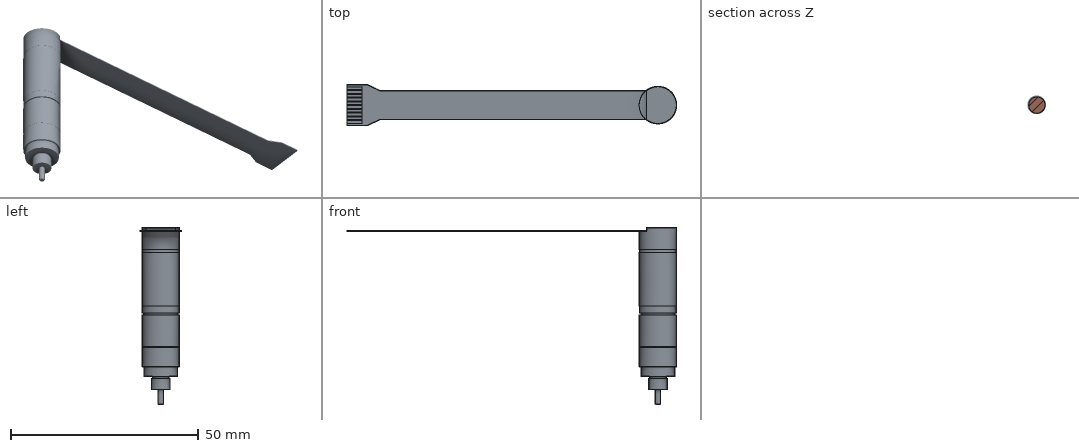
import cadquery as cq

body_diameter = 10.0
sleeve_diameter = 9.9
groove_diameter = 9.1
flange_diameter = 9.0
neck_diameter = 4.5
collar_diameter = 5.0
shaft_diameter = 1.5

cap_end = 5.8
cap_joint_end = 6.6
motor_end = 20.9
adapter_end = 22.8
groove_end = 23.3
gear_end = 31.7
gear_joint_end = 32.0
housing_end = 37.2
flange_end = 39.7
neck_end = 40.2
collar_end = 43.2
shaft_end = 47.2

housing_chamfer = 0.1
shaft_chamfer = 0.2

flat_offset = 3.0
cable_end = 83.0
cable_width = 7.7
cable_thickness = 0.25
cable_depth = 0.8

tab_width = 11.0
tab_length = 5.4
taper_length = 3.5

pad_count = 10
pad_pitch = 1.0
pad_width = 0.72
pad_length = 4.0
pad_height = 0.05


def cylinder(diameter, start_depth, end_depth):
    """Round section of the stack between two depths below the top face."""
    return (
        cq.Workplane("XY")
        .workplane(offset=-end_depth)
        .circle(diameter / 2)
        .extrude(end_depth - start_depth)
    )


def make_stack():
    housing = cylinder(body_diameter, gear_joint_end, housing_end)
    shaft = cylinder(shaft_diameter, collar_end, shaft_end)
    sections = [
        cylinder(sleeve_diameter, cap_end, cap_joint_end),
        cylinder(body_diameter, cap_joint_end, motor_end),
        cylinder(sleeve_diameter, motor_end, adapter_end),
        cylinder(groove_diameter, adapter_end, groove_end),
        cylinder(body_diameter, groove_end, gear_end),
        cylinder(sleeve_diameter, gear_end, gear_joint_end),
        housing.faces("<Z").chamfer(housing_chamfer),
        cylinder(flange_diameter, housing_end, flange_end),
        cylinder(neck_diameter, flange_end, neck_end),
        cylinder(collar_diameter, neck_end, collar_end),
        shaft.faces("<Z").chamfer(shaft_chamfer),
    ]
    stack = cylinder(body_diameter, 0, cap_end)
    for section in sections:
        stack = stack.union(section)
    return stack


def cut_cable_seat(stack):
    """Step in the cap that leaves a ledge for the cable to lie on."""
    seat_depth = cable_depth + cable_thickness
    seat = cq.Workplane("XY").box(
        body_diameter, 2 * body_diameter, seat_depth, centered=(False, True, False)
    )
    return stack.cut(seat.translate((-flat_offset - body_diameter, 0, -seat_depth)))


def make_cable():
    tab_x = -cable_end + tab_length
    strip_x = tab_x + taper_length
    half_profile = [
        (-cable_end, 0),
        (-cable_end, tab_width / 2),
        (tab_x, tab_width / 2),
        (strip_x, cable_width / 2),
        (-flat_offset, cable_width / 2),
        (-flat_offset, 0),
    ]
    half = (
        cq.Workplane("XY")
        .workplane(offset=-cable_depth - cable_thickness)
        .polyline(half_profile)
        .close()
        .extrude(cable_thickness)
    )
    return half.union(half.mirror("XZ"))


def add_pads(cable):
    """Row of raised contact pads, ending flush with the free end of the cable."""
    pads = (
        cq.Workplane("XY")
        .workplane(offset=-cable_depth)
        .center(-cable_end + pad_length / 2, 0)
        .rarray(1, pad_pitch, 1, pad_count)
        .rect(pad_length, pad_width)
        .extrude(pad_height)
    )
    return cable.union(pads)


result = cut_cable_seat(make_stack()).union(add_pads(make_cable()))